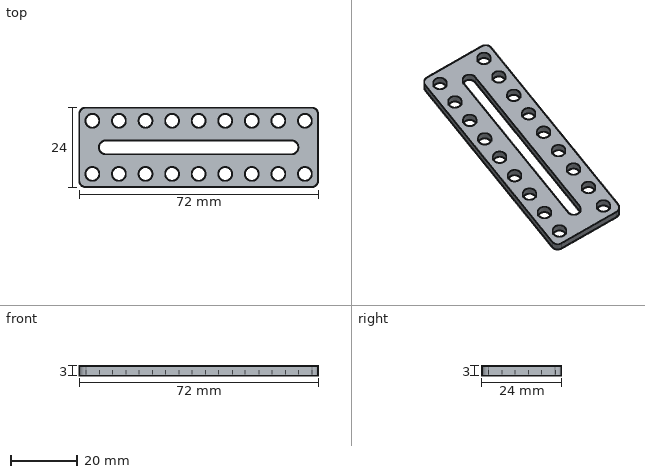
import cadquery as cq

length = 72.0
holes_per_row = 9
pitch = length / holes_per_row
width = 3 * pitch
thickness = 3.0
corner_radius = 2.0

hole_diameter = 4.1
row_spacing = 2 * pitch
slot_length = 7.5 * pitch
slot_width = hole_diameter

plate = (
    cq.Workplane("XY")
    .box(length, width, thickness)
    .edges("|Z")
    .fillet(corner_radius)
)

plate = (
    plate.faces(">Z")
    .workplane()
    .rarray(pitch, row_spacing, holes_per_row, 2)
    .hole(hole_diameter)
)

result = (
    plate.faces(">Z")
    .workplane()
    .slot2D(slot_length, slot_width)
    .cutThruAll()
)